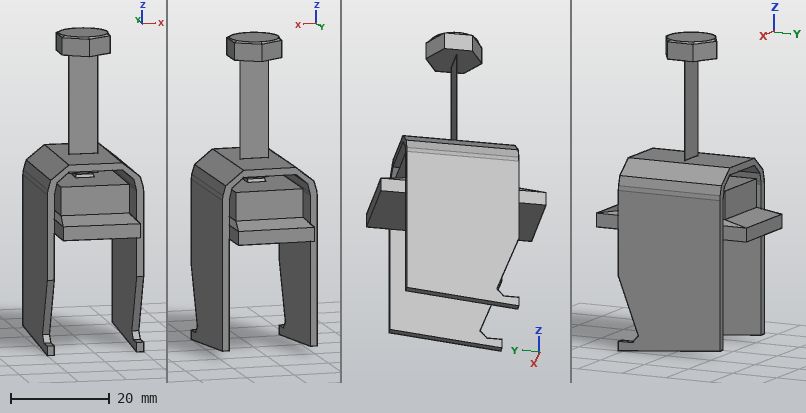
import cadquery as cq
import math

saddle_width = 20.0
saddle_length = 23.05
saddle_top = 39.05
sheet_thickness = 1.5
leg_half = saddle_width / 2
saddle_half = saddle_length / 2
inner_half = leg_half - sheet_thickness

crown_half = 5.5
shoulder_half, shoulder_z = 9.3, 36.0
haunch_half, haunch_z = 9.85, 34.05
leg_top_z = 33.1
inner_shoulder_half, inner_shoulder_z = 7.95, 35.5
inner_haunch_half, inner_haunch_z = 8.4, 33.7

foot_height = 2.0
notch_top_z = 15.5
notch_depth, notch_z = 4.55, 3.5
foot_reach = 3.15

plate_width = 16.0
plate_front, plate_back = -17.5, 16.5
plate_bottom, plate_top = 24.65, 27.5
block_width, block_length = 14.15, 22.4
block_bottom, block_top = 28.6, 34.5

head_across_flats = 10.0
head_bottom, screw_top = 60.0, 64.0
head_chamfer_height = 0.4
shank_width, shank_thickness = 6.0, 0.05
shank_bottom = 35.1
tip_width = 3.8
tip_top_width, tip_top_depth = 3.5, 2.6


def shank():
    """Flat shank from the shank end up to the underside of the head."""
    height = head_bottom - shank_bottom
    return (
        cq.Workplane("XY", origin=(0, 0, shank_bottom))
        .box(shank_width, shank_thickness, height, centered=(True, True, False))
    )


def saddle_profile(half_points):
    """Wire in the XZ plane from right-hand points (bottom to top), mirrored in X."""
    left = [(-x, z) for x, z in reversed(half_points)]
    return (
        cq.Workplane("XZ", origin=(0, saddle_half, 0))
        .polyline(half_points + left)
        .close()
        .extrude(saddle_length)
    )


def make_saddle():
    """Bent sheet with two hooked legs and a slot that fits the shank."""
    outside = saddle_profile([
        (leg_half, 0),
        (leg_half, leg_top_z),
        (haunch_half, haunch_z),
        (shoulder_half, shoulder_z),
        (crown_half, saddle_top),
    ])
    inside = saddle_profile([
        (inner_half, 0),
        (inner_half, leg_top_z),
        (inner_haunch_half, inner_haunch_z),
        (inner_shoulder_half, inner_shoulder_z),
        (crown_half, saddle_top - sheet_thickness),
    ])
    side_outline = (
        cq.Workplane("YZ", origin=(-leg_half, 0, 0))
        .polyline([
            (-saddle_half, 0),
            (saddle_half, foot_height),
            (saddle_half, saddle_top),
            (-saddle_half, saddle_top),
            (-saddle_half, notch_top_z),
            (-saddle_half + notch_depth, notch_z),
            (-saddle_half + foot_reach, foot_height),
            (-saddle_half, foot_height),
        ])
        .close()
        .extrude(saddle_width)
    )
    return outside.cut(inside).intersect(side_outline).cut(shank())


def make_pressure_piece():
    """Plate whose top tapers up to a narrower, shorter block."""
    plate_length = plate_back - plate_front
    plate_middle = (plate_back + plate_front) / 2
    plate = (
        cq.Workplane("XY", origin=(0, plate_middle, plate_bottom))
        .box(plate_width, plate_length, plate_top - plate_bottom, centered=(True, True, False))
    )
    taper = (
        cq.Workplane("XY", origin=(0, 0, plate_top))
        .center(0, plate_middle)
        .rect(plate_width, plate_length)
        .workplane(offset=block_bottom - plate_top)
        .center(0, -plate_middle)
        .rect(block_width, block_length)
        .loft(ruled=True)
    )
    block = (
        cq.Workplane("XY", origin=(0, 0, block_bottom))
        .box(block_width, block_length, block_top - block_bottom, centered=(True, True, False))
    )
    return plate.union(taper).union(block)


def make_screw():
    """Hexagon-headed screw; the head blends from its hexagon to a circle on top."""
    corner_radius = head_across_flats / math.sqrt(3)
    flat_radius = head_across_flats / 2
    flank_height = screw_top - head_bottom - head_chamfer_height
    head = (
        cq.Workplane("XY", origin=(0, 0, head_bottom))
        .transformed(rotate=(0, 0, 90))
        .polygon(6, 2 * corner_radius)
        .extrude(flank_height)
    )
    crown = (
        cq.Workplane("XY", origin=(0, 0, head_bottom + flank_height))
        .transformed(rotate=(0, 0, 90))
        .polygon(6, 2 * corner_radius)
        .workplane(offset=head_chamfer_height)
        .circle(flat_radius)
        .loft(ruled=True)
    )
    tip = (
        cq.Workplane("XY", origin=(0, 0, block_top))
        .rect(tip_width, tip_width)
        .workplane(offset=shank_bottom - block_top)
        .rect(tip_top_width, tip_top_depth)
        .loft(ruled=True)
    )
    return head.union(crown).union(shank()).union(tip)


saddle = make_saddle()
pressure_piece = make_pressure_piece()
screw = make_screw()

result = cq.Compound.makeCompound([saddle.val(), pressure_piece.val(), screw.val()])